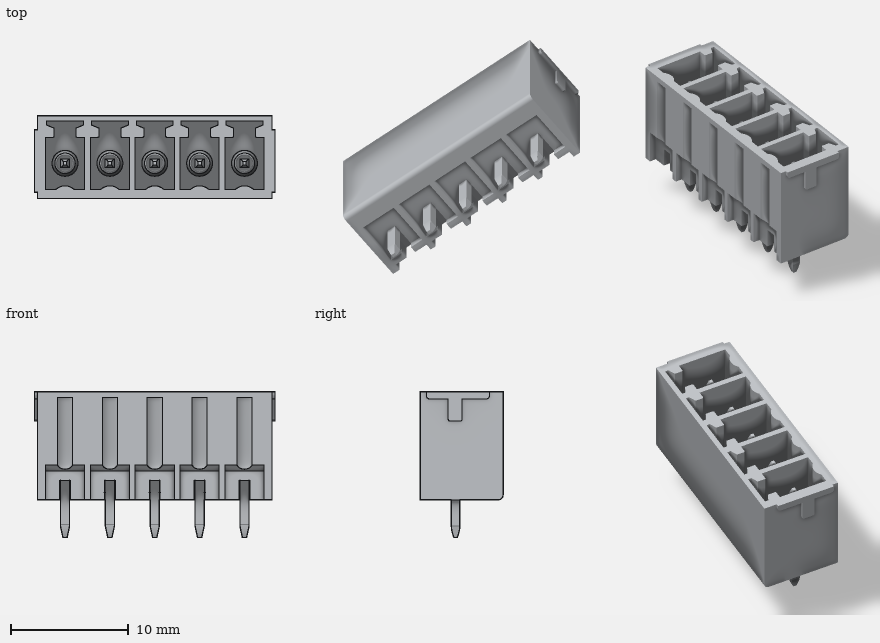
import cadquery as cq
import math


pole_count = 5
pitch = 3.81
pole_positions = [(i - (pole_count - 1) / 2) * pitch for i in range(pole_count)]

housing_length = 19.94
housing_width = 7.05
housing_height = 9.2
front_y = -3.0
back_y = front_y + housing_width
back_bottom_radius = 0.45

overall_length = 20.44
plate_front_y = -2.47
plate_back_y = 2.87
plate_height = 0.62
plate_corner_radius = 0.25
tab_center_y = -0.04
tab_width = 1.17
tab_length = 2.5
tab_corner_radius = 0.15

cavity_floor_z = 3.5
cavity_width = 3.33
cavity_front_y = front_y + 0.78
cavity_back_y = 2.21
bulge_width = 1.56
bulge_height = 0.31
keyway_neck_width = 1.85
keyway_head_width = 3.14
keyway_neck_end_y = 2.98
keyway_head_start_y = 3.26
keyway_back_y = 3.58
keyway_corner_radius = 0.1

collar_base_radius = 1.1
collar_top_radius = 0.87
collar_cone_height = 0.5
collar_rounding = 0.15

groove_width = 1.28
groove_depth = 0.43
groove_top_z = 8.7

recess_width = cavity_width
recess_depth = 0.6
recess_front_height = 2.96
recess_back_height = 2.47

slot_width = 0.93
slot_height = 1.67
foot_thickness = 0.61
underside_front_y = front_y + recess_depth + foot_thickness
underside_back_y = cavity_back_y
underside_width = cavity_width
underside_depth = 0.64

pin_width = 0.8
pin_thickness = 0.75
pin_bottom_z = -3.2
pin_top_z = 7.85
tip_taper_length = 1.0
tip_round_length = 1.1
lower_tip_end_width = 0.37
upper_tip_end_width = 0.28
tip_end_thickness = 0.28
tip_inset = (pin_thickness - tip_end_thickness) / 2
tip_round_radius = (tip_round_length**2 + tip_inset**2) / (2 * tip_inset)


def box_between(x_size, x_center, y_start, y_end, z_start, z_end):
    """Box centred on x_center in X and given by its limits in Y and Z."""
    return (
        cq.Workplane("XY")
        .box(x_size, y_end - y_start, z_end - z_start, centered=(True, False, False))
        .translate((x_center, y_start, z_start))
    )


def make_block():
    block = box_between(housing_length, 0, front_y, back_y, 0, housing_height)
    return block.edges(">Y and <Z").fillet(back_bottom_radius)


def make_end_plates():
    """T-shaped plates that stand proud of both ends, as one bar through the block."""
    plate = box_between(
        overall_length, 0, plate_front_y, plate_back_y, housing_height - plate_height, housing_height
    )
    plate = plate.edges("|X and <Z").fillet(plate_corner_radius)
    tab = box_between(
        overall_length,
        0,
        tab_center_y - tab_width / 2,
        tab_center_y + tab_width / 2,
        housing_height - tab_length,
        housing_height,
    )
    tab = tab.edges("|X and <Z").fillet(tab_corner_radius)
    return plate.union(tab)


def make_cavity(x):
    """Plug cavity with a bulged front wall and a dovetail keyway at the back."""
    half_cavity = cavity_width / 2
    half_bulge = bulge_width / 2
    half_neck = keyway_neck_width / 2
    half_head = keyway_head_width / 2
    cavity = (
        cq.Workplane("XY")
        .workplane(offset=cavity_floor_z)
        .moveTo(-half_cavity, cavity_front_y)
        .lineTo(-half_bulge, cavity_front_y)
        .threePointArc((0, cavity_front_y + bulge_height), (half_bulge, cavity_front_y))
        .lineTo(half_cavity, cavity_front_y)
        .lineTo(half_cavity, cavity_back_y)
        .lineTo(half_neck, cavity_back_y)
        .lineTo(half_neck, keyway_neck_end_y)
        .lineTo(half_head, keyway_head_start_y)
        .lineTo(half_head, keyway_back_y)
        .lineTo(-half_head, keyway_back_y)
        .lineTo(-half_head, keyway_head_start_y)
        .lineTo(-half_neck, keyway_neck_end_y)
        .lineTo(-half_neck, cavity_back_y)
        .lineTo(-half_cavity, cavity_back_y)
        .close()
        .extrude(housing_height - cavity_floor_z)
    )
    margin = keyway_corner_radius
    neck_corners = cq.selectors.BoxSelector(
        (-half_neck - margin, cavity_back_y - margin, 0),
        (half_neck + margin, cavity_back_y + margin, housing_height),
    )
    cavity = cavity.edges("|Z").edges(neck_corners).fillet(keyway_corner_radius)
    return cavity.translate((x, 0, 0))


def make_collar(x):
    """Conical collar around a pin, with a rounded top edge."""
    collar_height = collar_cone_height + collar_rounding
    flat_radius = collar_top_radius - collar_rounding
    diagonal = collar_rounding / math.sqrt(2)
    arc_middle = (flat_radius + diagonal, collar_cone_height + diagonal)
    collar = (
        cq.Workplane("XZ")
        .moveTo(0, 0)
        .lineTo(collar_base_radius, 0)
        .lineTo(collar_top_radius, collar_cone_height)
        .threePointArc(arc_middle, (flat_radius, collar_height))
        .lineTo(0, collar_height)
        .close()
        .revolve(360, (0, 0, 0), (0, 1, 0))
    )
    return collar.translate((x, 0, cavity_floor_z))


def make_groove(x):
    """Round groove that runs down the front wall into the recess."""
    half_groove = groove_width / 2
    groove = (
        cq.Workplane("XY")
        .workplane(offset=recess_back_height)
        .moveTo(-half_groove, front_y)
        .threePointArc((0, front_y + groove_depth), (half_groove, front_y))
        .close()
        .extrude(groove_top_z - recess_back_height)
    )
    return groove.translate((x, 0, 0))


def make_recess(x):
    """Front recess whose top face slopes down towards the inside."""
    recess_back_y = front_y + recess_depth
    recess = (
        cq.Workplane("YZ")
        .moveTo(front_y, 0)
        .lineTo(front_y, recess_front_height)
        .lineTo(recess_back_y, recess_back_height)
        .lineTo(recess_back_y, 0)
        .close()
        .extrude(recess_width / 2, both=True)
    )
    return recess.translate((x, 0, 0))


def make_underside_openings(x):
    """Slot from the front wall to the pin, and the shallow hollow around the pin."""
    slot = box_between(slot_width, x, front_y, pin_thickness / 2, 0, slot_height)
    hollow = box_between(underside_width, x, underside_front_y, underside_back_y, 0, underside_depth)
    return slot.union(hollow)


def make_pin(x):
    """Rectangular pin; both tips taper straight across the width and round across the thickness."""
    half_width = pin_width / 2
    half_lower_end = lower_tip_end_width / 2
    half_upper_end = upper_tip_end_width / 2
    half_thickness = pin_thickness / 2
    half_end_thickness = tip_end_thickness / 2
    lower_taper_z = pin_bottom_z + tip_taper_length
    upper_taper_z = pin_top_z - tip_taper_length
    lower_round_z = pin_bottom_z + tip_round_length
    upper_round_z = pin_top_z - tip_round_length
    tapered_bar = (
        cq.Workplane("XZ")
        .moveTo(half_lower_end, pin_bottom_z)
        .lineTo(half_width, lower_taper_z)
        .lineTo(half_width, upper_taper_z)
        .lineTo(half_upper_end, pin_top_z)
        .lineTo(-half_upper_end, pin_top_z)
        .lineTo(-half_width, upper_taper_z)
        .lineTo(-half_width, lower_taper_z)
        .lineTo(-half_lower_end, pin_bottom_z)
        .close()
        .extrude(half_thickness, both=True)
    )
    rounded_bar = (
        cq.Workplane("YZ")
        .moveTo(half_end_thickness, pin_bottom_z)
        .radiusArc((half_thickness, lower_round_z), -tip_round_radius)
        .lineTo(half_thickness, upper_round_z)
        .radiusArc((half_end_thickness, pin_top_z), -tip_round_radius)
        .lineTo(-half_end_thickness, pin_top_z)
        .radiusArc((-half_thickness, upper_round_z), -tip_round_radius)
        .lineTo(-half_thickness, lower_round_z)
        .radiusArc((-half_end_thickness, pin_bottom_z), -tip_round_radius)
        .close()
        .extrude(half_width, both=True)
    )
    return tapered_bar.intersect(rounded_bar).translate((x, 0, 0))


def make_housing():
    housing = make_block().union(make_end_plates())
    for x in pole_positions:
        housing = housing.cut(make_cavity(x))
        housing = housing.union(make_collar(x))
        housing = housing.cut(make_groove(x))
        housing = housing.cut(make_recess(x))
        housing = housing.cut(make_underside_openings(x))
        housing = housing.cut(make_pin(x))
    return housing


housing = make_housing()
pins = [make_pin(x) for x in pole_positions]

result = cq.Compound.makeCompound([housing.val(), *[pin.val() for pin in pins]])